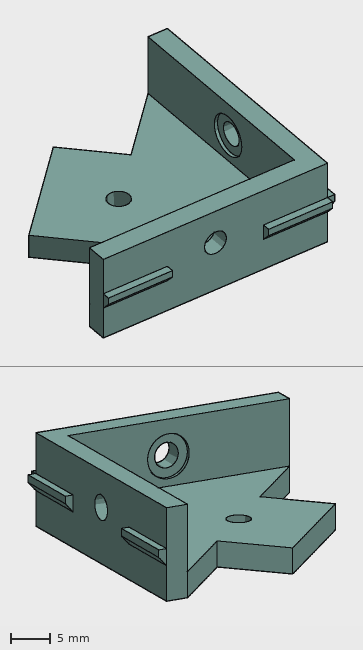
import cadquery as cq
import math

overall_size = 36.1
tab_reach = 1.12
bracket_side = overall_size - tab_reach
bracket_height = 12.5
wall_thickness = 3.05
floor_thickness = 3.5
inner_side = bracket_side - wall_thickness

tongue_width = 18.9
tongue_length = 10.0
floor_hole_diameter = 3.2

wall_hole_diameter = 3.4
counterbore_diameter = 6.0
counterbore_depth = 0.5
wall_hole_height = 7.5

tab_length = 10.0
tab_top = 7.05
tab_tip_height = 1.0
tab_slope_height = 1.25


def make_floor():
    """Floor plate with a diagonal front edge, with a tongue and a hole at its middle."""
    middle = inner_side / 2
    half_width_step = tongue_width / 2 / math.sqrt(2)
    length_step = tongue_length / math.sqrt(2)
    near = middle - half_width_step
    far = middle + half_width_step
    outline = [
        (0, bracket_side),
        (0, inner_side),
        (near, far),
        (near - length_step, far - length_step),
        (far - length_step, near - length_step),
        (far, near),
        (inner_side, 0),
        (bracket_side, 0),
        (bracket_side, bracket_side),
    ]
    plate = cq.Workplane("XY").polyline(outline).close().extrude(floor_thickness)
    hole = (
        cq.Workplane("XY", origin=(middle, middle, 0))
        .circle(floor_hole_diameter / 2)
        .extrude(floor_thickness)
    )
    return plate.cut(hole)


def mirror_across_diagonal(shape):
    """Swap X and Y, which carries the +Y wall onto the +X wall."""
    diagonal_normal = cq.Vector(1, -1, 0)
    return shape.mirror(diagonal_normal, (0, 0, 0))


def make_back_wall():
    """Wall along +Y with a hole counterbored from the inner face."""
    wall = (
        cq.Workplane("XY", origin=(0, inner_side, 0))
        .box(bracket_side, wall_thickness, bracket_height, centered=False)
    )
    hole_plane = cq.Workplane("XZ", origin=(bracket_side / 2, inner_side, wall_hole_height))
    hole = hole_plane.circle(wall_hole_diameter / 2).extrude(-wall_thickness)
    counterbore = hole_plane.circle(counterbore_diameter / 2).extrude(-counterbore_depth)
    return wall.cut(hole).cut(counterbore)


def make_bracket():
    """Floor and both walls as one solid."""
    back_wall = make_back_wall()
    return make_floor().union(back_wall).union(mirror_across_diagonal(back_wall))


def make_back_tab(start):
    """Snap tab on the +Y wall: flat top, short tip and a sloped underside."""
    tip_bottom = tab_top - tab_tip_height
    profile = [
        (bracket_side, tab_top),
        (overall_size, tab_top),
        (overall_size, tip_bottom),
        (bracket_side, tip_bottom - tab_slope_height),
    ]
    return (
        cq.Workplane("YZ", origin=(start, 0, 0))
        .polyline(profile)
        .close()
        .extrude(tab_length)
    )


bracket = make_bracket()

tabs = []
for tab_start in (0, bracket_side - tab_length):
    back_tab = make_back_tab(tab_start)
    tabs.append(back_tab)
    tabs.append(mirror_across_diagonal(back_tab))

result = cq.Compound.makeCompound([bracket.val(), *[tab.val() for tab in tabs]])